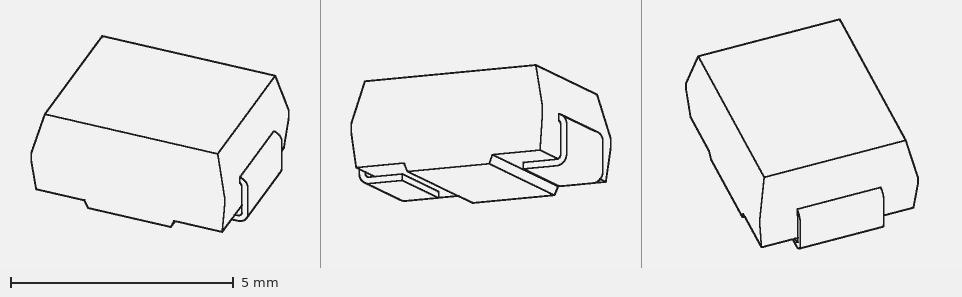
import cadquery as cq

overall_length = 5.1
body_width = 3.8
body_height = 2.2

body_length = 4.7
belt_bottom = 1.0
belt_top = 1.2
top_inset_x = 0.25
top_inset_y = 0.2
base_inset_x = 0.11
base_inset_y = 0.09

foot_height = 0.2
foot_length_bottom = 2.01
foot_length_top = 2.18

lead_thickness = 0.15
lead_width = 2.01
bend_radius = 0.25
pad_length = 1.06
lead_embed = 0.205


def tapered_block(z_start, z_end, inset_x, inset_y):
    """Loft from the full belt outline at z_start to an inset outline at z_end."""
    return (
        cq.Workplane("XY")
        .workplane(offset=z_start)
        .rect(body_length, body_width)
        .workplane(offset=z_end - z_start)
        .rect(body_length - 2 * inset_x, body_width - 2 * inset_y)
        .loft(ruled=True)
    )


def make_body():
    belt = (
        cq.Workplane("XY")
        .workplane(offset=belt_bottom)
        .rect(body_length, body_width)
        .extrude(belt_top - belt_bottom)
    )
    upper = tapered_block(belt_top, body_height, top_inset_x, top_inset_y)
    lower = tapered_block(belt_bottom, 0, base_inset_x, base_inset_y)
    return belt.union(upper).union(lower)


def end_relief():
    """Cutter that clears the underside above the left lead's solder pad."""
    return (
        cq.Workplane("XZ")
        .polyline([
            (-overall_length / 2, 0),
            (-foot_length_bottom / 2, 0),
            (-foot_length_top / 2, foot_height),
            (-overall_length / 2, foot_height),
        ])
        .close()
        .extrude(body_width / 2, both=True)
    )


def make_left_lead():
    """C-shaped strip: top leg in the belt, upright leg, and solder pad."""
    outer_x = -overall_length / 2
    inner_x = outer_x + lead_thickness
    bend_x = outer_x + bend_radius
    inner_radius = bend_radius - lead_thickness
    pad_end = outer_x + pad_length
    leg_end = -body_length / 2 + lead_embed
    lower_bend_z = bend_radius
    upper_bend_z = belt_top - bend_radius
    return (
        cq.Workplane("XZ")
        .moveTo(pad_end, 0)
        .lineTo(bend_x, 0)
        .radiusArc((outer_x, lower_bend_z), bend_radius)
        .lineTo(outer_x, upper_bend_z)
        .radiusArc((bend_x, belt_top), bend_radius)
        .lineTo(leg_end, belt_top)
        .lineTo(leg_end, belt_top - lead_thickness)
        .lineTo(bend_x, belt_top - lead_thickness)
        .radiusArc((inner_x, upper_bend_z), -inner_radius)
        .lineTo(inner_x, lower_bend_z)
        .radiusArc((bend_x, lead_thickness), -inner_radius)
        .lineTo(pad_end, lead_thickness)
        .close()
        .extrude(lead_width / 2, both=True)
    )


relief = end_relief()
left_lead = make_left_lead()
body = make_body().cut(relief).cut(relief.mirror("YZ"))
result = body.union(left_lead).union(left_lead.mirror("YZ"))